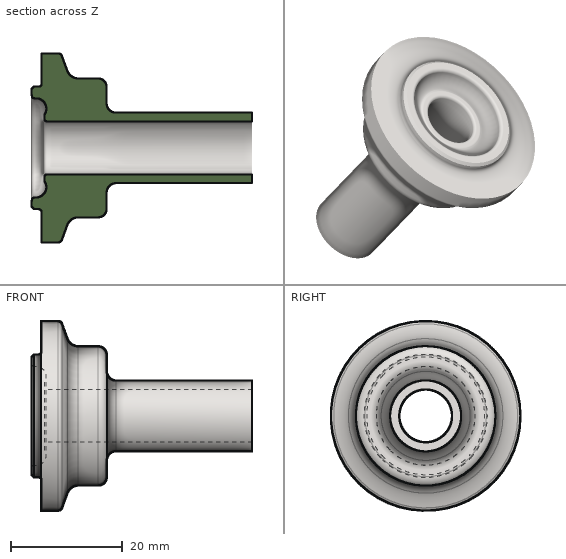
import cadquery as cq
import math

length = 39.5
flange_radius = 17.005
hub_radius = 12.5
spigot_radius = 11.04
tube_radius = 6.35
bore_radius = 4.7

flange_front = 1.75
flange_round_start = 4.75
hub_start = 8.37
hub_end = 13.5

spigot_chamfer = 0.47
spigot_root_round = 0.4
flange_round = 0.8
hub_root_round = 2.05
hub_edge_round = 1.6
tube_root_round = 1.6
cone_angle = math.radians(20)

rim_flat_radius = 9.45
rim_round = 0.6
mouth_tilt = math.radians(5)
groove_round = 1.8
nose_flat_radius = 5.8
nose_edge_round = 0.65
bore_edge_round = 0.5

rim_distance = rim_round + groove_round
groove_center = (
    rim_round + rim_distance * math.sin(mouth_tilt),
    rim_flat_radius - rim_distance * math.cos(mouth_tilt),
)
center_distance = groove_round + nose_edge_round
tangent_angle = math.asin((groove_center[1] - nose_flat_radius) / center_distance)
nose_round_x = groove_center[0] + center_distance * math.cos(tangent_angle)
nose_face = nose_round_x - nose_edge_round


def arc(profile, center, radius, start, end):
    """Continue the profile along a circle from angle start to end, in degrees."""
    middle, last = [
        (
            center[0] + radius * math.cos(math.radians(angle)),
            center[1] + radius * math.sin(math.radians(angle)),
        )
        for angle in ((start + end) / 2, end)
    ]
    return profile.threePointArc(middle, last)


def add_outside(profile):
    """Trace the outer surface from the spigot face to the tube end."""
    profile = profile.lineTo(0, spigot_radius - spigot_chamfer)
    profile = profile.lineTo(spigot_chamfer, spigot_radius)
    root_x = flange_front - spigot_root_round
    profile = profile.lineTo(root_x, spigot_radius)
    profile = arc(profile, (root_x, spigot_radius + spigot_root_round), spigot_root_round, -90, 0)
    profile = profile.lineTo(flange_front, flange_radius)
    profile = profile.lineTo(flange_round_start, flange_radius)

    cone_normal = math.degrees(cone_angle)
    profile = arc(
        profile, (flange_round_start, flange_radius - flange_round), flange_round, 90, cone_normal
    )
    hub_root_center = (hub_start, hub_radius + hub_root_round)
    profile = profile.lineTo(
        hub_start - hub_root_round * math.cos(cone_angle),
        hub_root_center[1] - hub_root_round * math.sin(cone_angle),
    )
    profile = arc(profile, hub_root_center, hub_root_round, 180 + cone_normal, 270)

    hub_round_x = hub_end - hub_edge_round
    profile = profile.lineTo(hub_round_x, hub_radius)
    profile = arc(profile, (hub_round_x, hub_radius - hub_edge_round), hub_edge_round, 90, 0)
    profile = profile.lineTo(hub_end, tube_radius + tube_root_round)
    tube_root_center = (hub_end + tube_root_round, tube_radius + tube_root_round)
    profile = arc(profile, tube_root_center, tube_root_round, 180, 270)
    return profile.lineTo(length, tube_radius)


def add_inside(profile):
    """Trace the bore back to the nose, then the groove out to the spigot rim."""
    profile = profile.lineTo(length, bore_radius)
    bore_round_x = nose_face + bore_edge_round
    profile = profile.lineTo(bore_round_x, bore_radius)
    profile = arc(profile, (bore_round_x, bore_radius + bore_edge_round), bore_edge_round, 270, 180)
    profile = profile.lineTo(nose_face, nose_flat_radius)
    tilt_degrees = math.degrees(mouth_tilt)
    tangent_degrees = math.degrees(tangent_angle)
    profile = arc(
        profile, (nose_round_x, nose_flat_radius), nose_edge_round, 180, 180 - tangent_degrees
    )
    profile = arc(profile, groove_center, groove_round, -tangent_degrees, 90 + tilt_degrees)
    return arc(profile, (rim_round, rim_flat_radius), rim_round, tilt_degrees - 90, -180)


profile = cq.Workplane("XY").moveTo(0, rim_flat_radius)
profile = add_inside(add_outside(profile)).close()
result = profile.revolve(360, (0, 0, 0), (1, 0, 0))